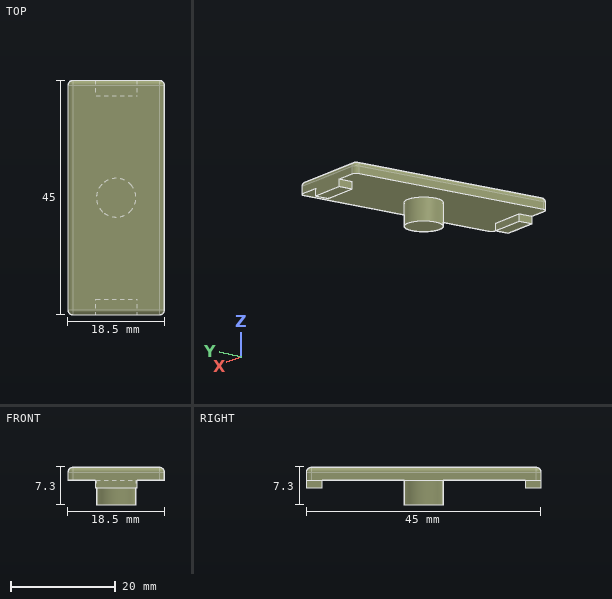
import cadquery as cq

plate_width = 18.5
plate_length = 45.0
plate_thickness = 2.5
edge_radius = 1.0

total_height = 7.3
post_diameter = 7.5
post_length = total_height - plate_thickness

tab_width = 8.0
tab_length = 3.0
tab_depth = 1.5


def make_plate():
    """Plate with its underside at Z = 0, rounded everywhere but underneath."""
    plate = cq.Workplane("XY").box(
        plate_width, plate_length, plate_thickness, centered=(True, True, False)
    )
    return plate.edges("|Z").fillet(edge_radius).faces(">Z").edges().fillet(edge_radius)


def make_post():
    return cq.Workplane("XY").circle(post_diameter / 2).extrude(-post_length)


def make_tabs():
    tab_center_y = (plate_length - tab_length) / 2
    return (
        cq.Workplane("XY")
        .pushPoints([(0, -tab_center_y), (0, tab_center_y)])
        .rect(tab_width, tab_length)
        .extrude(-tab_depth)
    )


result = make_plate().union(make_post()).union(make_tabs())